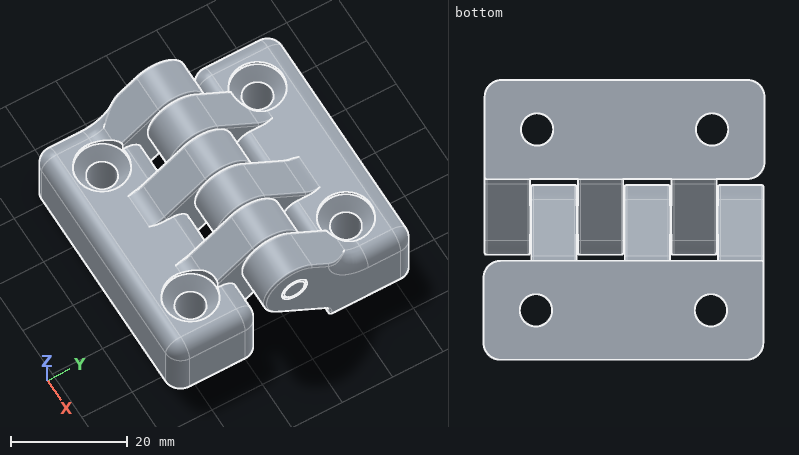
import cadquery as cq
import math

overall_length = 48.2
overall_height = 20.5
leaf_length = 48.0
leaf_spread = 48.0

leaf_width = 17.0
leaf_height = 12.5
leaf_round = 3.0
leaf_outer_y = leaf_spread / 2
leaf_inner_y = leaf_outer_y - leaf_width
leaf_left = -overall_length / 2
leaf_right = leaf_left + leaf_length

knuckles_per_leaf = 3
barrel_diameter = 12.0
barrel_radius = barrel_diameter / 2
pin_z = overall_height - barrel_radius
arm_angle = math.radians(36)
knuckle_gap = 0.2
knuckle_slot = leaf_length / (2 * knuckles_per_leaf)
knuckle_width = knuckle_slot - knuckle_gap
knuckle_round = 0.4
top_blend = 5.0
foot_blend = 2.02

pin_diameter = 5.0
pin_radius = pin_diameter / 2
pin_half_length = leaf_right
pin_chamfer = 0.5

screw_spacing = 30.0
screw_diameter = 5.5
sink_diameter = 10.0
screw_radius = screw_diameter / 2
sink_radius = sink_diameter / 2
sink_straight = 0.75
sink_cone = sink_radius - screw_radius

sine = math.sin(arm_angle)
cosine = math.cos(arm_angle)
top_blend_z = leaf_height + top_blend
top_blend_y = (barrel_radius + top_blend - (top_blend_z - pin_z) * cosine) / sine
foot_blend_y = leaf_inner_y - foot_blend
foot_blend_z = pin_z - (barrel_radius + foot_blend + foot_blend_y * sine) / cosine


def around(center_y, center_z, radius, angle):
    """Point on a circle in the YZ plane, angle in radians from +Y."""
    return center_y + radius * math.cos(angle), center_z + radius * math.sin(angle)


def make_plate():
    """Block with rounded upright corners and top edges."""
    plate = cq.Workplane("XY").box(leaf_length, leaf_width, leaf_height, centered=False)
    plate = plate.translate((leaf_left, leaf_inner_y, 0))
    return plate.edges("|Z").fillet(leaf_round).faces(">Z").edges().fillet(leaf_round)


def make_knuckle(right_x):
    """Barrel and sloping arm, reaching down the inner side of the plate."""
    up = math.pi / 2 - arm_angle
    down = up + math.pi
    blend_middle = (down + 3 * math.pi / 2) / 2
    knuckle = (
        cq.Workplane("YZ", origin=(right_x - knuckle_width, 0, 0))
        .moveTo(leaf_inner_y, 0)
        .lineTo(leaf_inner_y, foot_blend_z)
        .threePointArc(
            around(foot_blend_y, foot_blend_z, foot_blend, up / 2),
            around(foot_blend_y, foot_blend_z, foot_blend, up),
        )
        .lineTo(*around(0, pin_z, barrel_radius, down))
        .threePointArc(
            around(0, pin_z, barrel_radius, (up + down) / 2),
            around(0, pin_z, barrel_radius, up),
        )
        .lineTo(*around(top_blend_y, top_blend_z, top_blend, down))
        .threePointArc(
            around(top_blend_y, top_blend_z, top_blend, blend_middle),
            (top_blend_y, leaf_height),
        )
        .lineTo(top_blend_y, 0)
        .close()
        .extrude(knuckle_width)
    )
    if right_x == leaf_right:
        knuckle = knuckle.cut(make_side_blend_cutter())
    barrel_edges = cq.selectors.BoxSelector(
        (-overall_length, -barrel_diameter, 0),
        (overall_length, 0, overall_height),
    )
    return knuckle.faces("<X or >X").edges(barrel_edges).fillet(knuckle_round)


def make_side_blend_cutter():
    """Carries the plate's side rounding up around the concave blend of the end arm."""
    round_x = leaf_right - leaf_round
    outer_radius = top_blend + leaf_round
    arc_offset = leaf_round * math.sqrt(0.5)
    return (
        cq.Workplane("XY")
        .moveTo(round_x, 0)
        .lineTo(round_x, -top_blend)
        .threePointArc(
            (round_x + arc_offset, -outer_radius + arc_offset),
            (leaf_right, -outer_radius),
        )
        .lineTo(leaf_right + knuckle_gap, -outer_radius)
        .lineTo(leaf_right + knuckle_gap, 0)
        .close()
        .revolve(90, (0, 0, 0), (1, 0, 0))
        .translate((0, top_blend_y, top_blend_z))
    )


def make_screw_cutter():
    """Through hole, cone and straight wall, open upward through any arm above."""
    cone_top = leaf_height - sink_straight
    return (
        cq.Workplane("XZ")
        .lineTo(screw_radius, 0)
        .lineTo(screw_radius, cone_top - sink_cone)
        .lineTo(sink_radius, cone_top)
        .lineTo(sink_radius, overall_height)
        .lineTo(0, overall_height)
        .close()
        .revolve(360, (0, 0, 0), (0, 1, 0))
    )


def make_leaf():
    """Leaf on the +Y side, its end knuckle flush with its +X end."""
    leaf = make_plate()
    for index in range(knuckles_per_leaf):
        leaf = leaf.union(make_knuckle(leaf_right - 2 * index * knuckle_slot))
    middle_x = (leaf_left + leaf_right) / 2
    screw_y = leaf_inner_y + leaf_width / 2
    for side in (-1, 1):
        screw_x = middle_x + side * screw_spacing / 2
        leaf = leaf.cut(make_screw_cutter().translate((screw_x, screw_y, 0)))
    bore = cq.Workplane("YZ", origin=(leaf_left, 0, pin_z)).circle(pin_radius).extrude(overall_length)
    return leaf.cut(bore)


def make_pin():
    """Pin with both ends chamfered and flush with the end knuckles."""
    pin = cq.Workplane("YZ", origin=(-pin_half_length, 0, pin_z))
    pin = pin.circle(pin_radius).extrude(2 * pin_half_length)
    return pin.faces("<X or >X").edges().chamfer(pin_chamfer)


back_leaf = make_leaf()
front_leaf = back_leaf.rotate((0, 0, 0), (0, 0, 1), 180)
result = back_leaf.union(make_pin()).union(front_leaf)